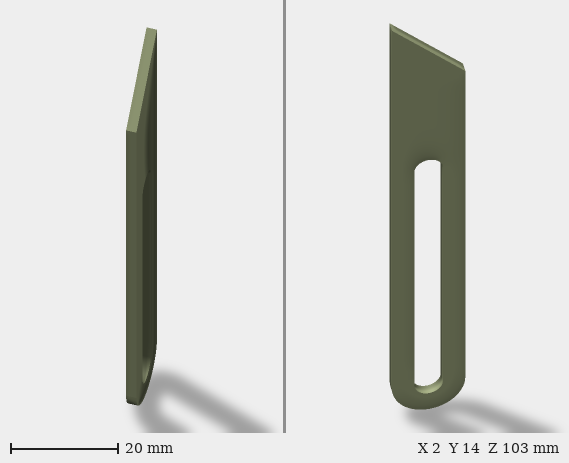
import cadquery as cq

thickness = 2.0
width = 14.0
length = 103.0
slot_width = 5.5
slot_travel = 57.0

end_radius = width / 2
tip_z = length - end_radius
shoulder_z = tip_z - width


def blade_body():
    """Bar with a round lower end and a slanted top, pointed on the +Y side."""
    return (
        cq.Workplane("YZ")
        .moveTo(-end_radius, 0)
        .threePointArc((0, -end_radius), (end_radius, 0))
        .lineTo(end_radius, tip_z)
        .lineTo(-end_radius, shoulder_z)
        .close()
        .extrude(thickness / 2, both=True)
    )


def adjustment_slot():
    """Through slot whose lower end is concentric with the round end."""
    return (
        cq.Workplane("YZ")
        .center(0, slot_travel / 2)
        .slot2D(slot_travel + slot_width, slot_width, 90)
        .extrude(thickness, both=True)
    )


result = blade_body().cut(adjustment_slot())